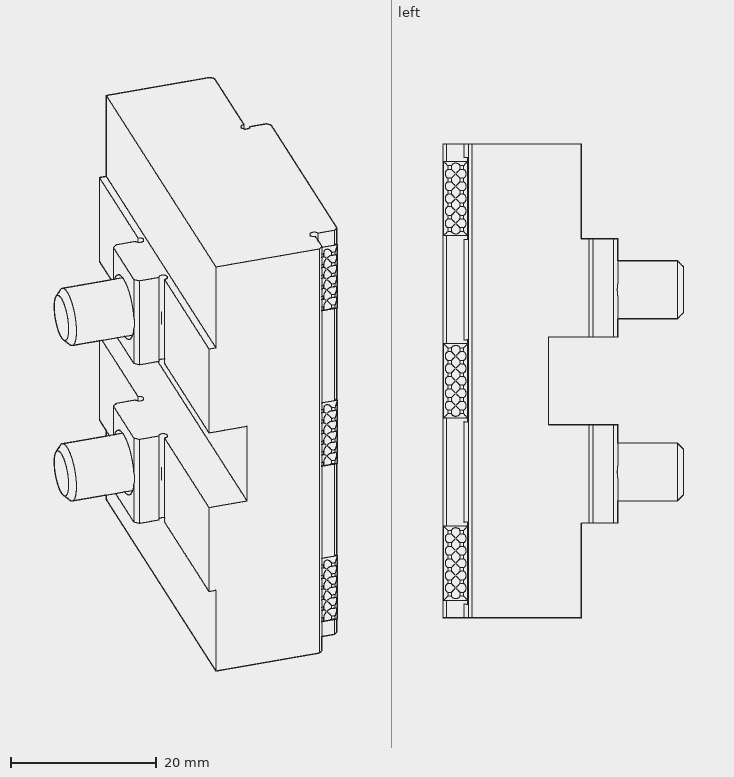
import cadquery as cq


BODY_WIDTH = 47.5
BODY_HEIGHT = 65.0
BODY_BACK_CHAMFER = 0.5

TOTAL_DEPTH = 33.0
RAIL_BACK_Y = TOTAL_DEPTH / 2
RAIL_HEIGHT = 3.5
BODY_BACK_Y = RAIL_BACK_Y - RAIL_HEIGHT
CENTER_SLOT_Y = RAIL_BACK_Y - 14.5
BODY_FRONT_Y = RAIL_BACK_Y - 19.0
PAD_FRONT_Y = RAIL_BACK_Y - 20.0
KEY_FRONT_Y = RAIL_BACK_Y - 24.0
SCREW_TIP_Y = RAIL_BACK_Y - TOTAL_DEPTH

SEAT_PITCH = 25.0
SEAT_X = -1.25
CENTER_SLOT_HEIGHT = 12.0
PAD_HEIGHT = 13.5
KEY_WIDTH = 10.0
KEY_CHAMFER = 0.6
SCREW_DIAMETER = 8.0
SCREW_HOLE_DIAMETER = 9.0
SCREW_HOLE_DEPTH = PAD_FRONT_Y - KEY_FRONT_Y
SCREW_TIP_CHAMFER = 0.85

RAIL_X = 5.0
RAIL_WIDTH = 29.5
RAIL_CHAMFER = 0.5

RELIEF_RADIUS = 0.6
RELIEF_OFFSET = 0.15

INSERT_COUNT = 3
INSERT_PITCH = 25.0
INSERT_BACK_LENGTH = 10.8
INSERT_FOOT_LENGTH = 11.3
INSERT_EMBED = 1.0
INSERT_GAP = 0.1
TOOTH_COLUMNS = 6
TOOTH_ROWS = 2
TOOTH_PITCH_Z = 1.7
TOOTH_PITCH_Y = 1.65
TOOTH_TIP_WIDTH = 0.5
TOOTH_VALLEY_RISE = 0.3
TOOTH_TIP_RISE = 0.75


def box_between(x_range, y_range, z_range):
    """Axis-aligned box given by its lower and upper limits."""
    size = [high - low for low, high in (x_range, y_range, z_range)]
    corner = (x_range[0], y_range[0], z_range[0])
    return cq.Workplane("XY").box(*size, centered=False).translate(corner)


def around(center, width):
    """Lower and upper limit of a span centered on a value."""
    return (center - width / 2, center + width / 2)


def relief_grooves(center_x, width, y, center_z, length):
    """Two round bars along Z, set just outside the foot corners of a raised strip."""
    reach = width / 2 + RELIEF_OFFSET
    return (
        cq.Workplane("XY", origin=(center_x, y, center_z - length / 2))
        .pushPoints([(-reach, 0), (reach, 0)])
        .circle(RELIEF_RADIUS)
        .extrude(length)
    )


def body():
    block = box_between(
        around(0, BODY_WIDTH), (BODY_FRONT_Y, BODY_BACK_Y), around(0, BODY_HEIGHT)
    )
    return block.edges("|Z and >Y").chamfer(BODY_BACK_CHAMFER)


def center_slot():
    return box_between(
        around(0, BODY_WIDTH), (PAD_FRONT_Y, CENTER_SLOT_Y), around(0, CENTER_SLOT_HEIGHT)
    )


def rail():
    strip = box_between(
        around(RAIL_X, RAIL_WIDTH), (CENTER_SLOT_Y, RAIL_BACK_Y), around(0, BODY_HEIGHT)
    )
    return strip.edges("|Z and >Y").chamfer(RAIL_CHAMFER)


def add_seat(part, direction):
    """Add the pad, key and screw above (+1) or below (-1) the center slot."""
    pad_z = direction * (CENTER_SLOT_HEIGHT + PAD_HEIGHT) / 2
    pad_z_range = around(pad_z, PAD_HEIGHT)
    pad = box_between(around(0, BODY_WIDTH), (PAD_FRONT_Y, BODY_FRONT_Y), pad_z_range)
    key = box_between(around(SEAT_X, KEY_WIDTH), (KEY_FRONT_Y, BODY_FRONT_Y), pad_z_range)
    key = key.edges("|Z and <Y").chamfer(KEY_CHAMFER)
    grooves = relief_grooves(SEAT_X, KEY_WIDTH, PAD_FRONT_Y, pad_z, PAD_HEIGHT)

    hole_bottom_y = KEY_FRONT_Y + SCREW_HOLE_DEPTH
    screw_plane = cq.Workplane("XZ", origin=(SEAT_X, hole_bottom_y, direction * SEAT_PITCH / 2))
    hole = screw_plane.circle(SCREW_HOLE_DIAMETER / 2).extrude(SCREW_HOLE_DEPTH)
    screw = screw_plane.circle(SCREW_DIAMETER / 2).extrude(hole_bottom_y - SCREW_TIP_Y)
    screw = screw.faces("<Y").chamfer(SCREW_TIP_CHAMFER)
    return part.union(pad).union(key).cut(grooves).cut(hole).union(screw)


def toothed_bar(plane, count, pitch, length):
    """Bar of ridges parted by round grooves; local Y is the rise above the rail side."""
    half_span = count * pitch / 2
    half_tip = TOOTH_TIP_WIDTH / 2
    tips = [(index + 0.5) * pitch - half_span for index in range(count)]
    outline = (
        cq.Workplane(plane)
        .moveTo(-half_span, -INSERT_EMBED)
        .lineTo(-half_span, 0)
        .lineTo(tips[0] - half_tip, TOOTH_TIP_RISE)
        .lineTo(tips[0] + half_tip, TOOTH_TIP_RISE)
    )
    for tip in tips[1:]:
        outline = outline.threePointArc(
            (tip - pitch / 2, TOOTH_VALLEY_RISE), (tip - half_tip, TOOTH_TIP_RISE)
        ).lineTo(tip + half_tip, TOOTH_TIP_RISE)
    outline = outline.lineTo(half_span, 0).lineTo(half_span, -INSERT_EMBED).close()
    return outline.extrude(length / 2, both=True)


def toothed_insert():
    """Insert on the +X side; X = 0 is the rail side, Y = 0 the body back."""
    teeth_depth = TOOTH_ROWS * TOOTH_PITCH_Y
    teeth_length = TOOTH_COLUMNS * TOOTH_PITCH_Z
    rows_plane = cq.Plane(origin=(0, 0, 0), xDir=(0, 1, 0), normal=(0, 0, -1))
    columns_plane = cq.Plane(origin=(0, 0, 0), xDir=(0, 0, 1), normal=(0, 1, 0))
    rows = toothed_bar(rows_plane, TOOTH_ROWS, TOOTH_PITCH_Y, teeth_length)
    columns = toothed_bar(columns_plane, TOOTH_COLUMNS, TOOTH_PITCH_Z, teeth_depth)
    teeth = rows.intersect(columns).translate((0, INSERT_GAP + teeth_depth / 2, 0))

    plate_back_y = RAIL_HEIGHT - RAIL_CHAMFER
    plate = (
        cq.Workplane("YZ")
        .moveTo(INSERT_GAP, -INSERT_FOOT_LENGTH / 2)
        .lineTo(INSERT_GAP, INSERT_FOOT_LENGTH / 2)
        .lineTo(plate_back_y, INSERT_BACK_LENGTH / 2)
        .lineTo(plate_back_y, -INSERT_BACK_LENGTH / 2)
        .close()
        .extrude(-INSERT_EMBED)
    )
    return plate.union(teeth)


def add_inserts(part):
    right_insert = toothed_insert().translate((RAIL_WIDTH / 2, BODY_BACK_Y, 0))
    left_insert = right_insert.mirror("YZ")
    for index in range(INSERT_COUNT):
        z = (index - (INSERT_COUNT - 1) / 2) * INSERT_PITCH
        part = part.union(right_insert.translate((RAIL_X, 0, z)))
        part = part.union(left_insert.translate((RAIL_X, 0, z)))
    return part


result = body().cut(center_slot()).union(rail())
result = result.cut(relief_grooves(RAIL_X, RAIL_WIDTH, BODY_BACK_Y, 0, BODY_HEIGHT))
for seat_direction in (-1, 1):
    result = add_seat(result, seat_direction)
result = add_inserts(result)